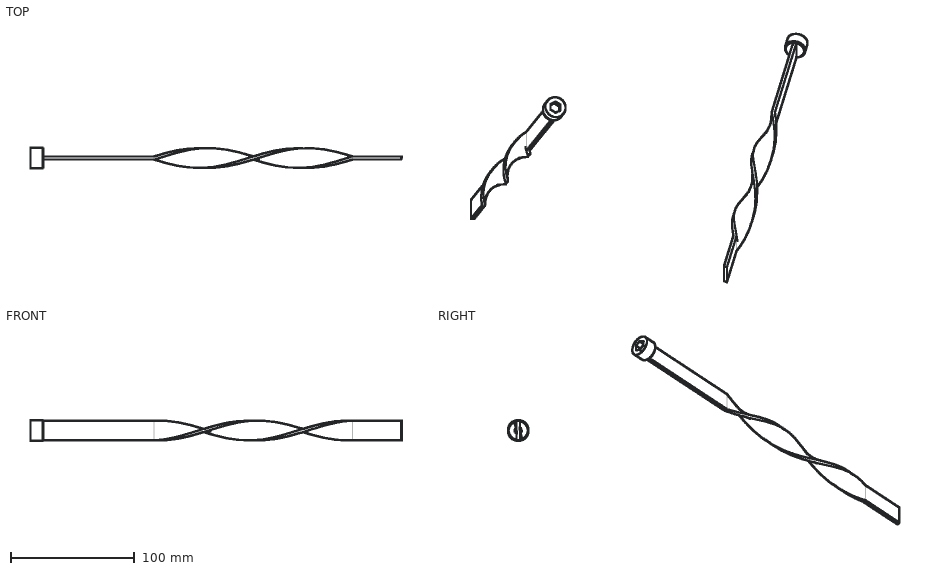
import cadquery as cq
import math

total_length = 300.0

head_diameter = 16.8
head_length = 10.5
head_rear_chamfer = 1.0
socket_across_flats = 8.0
socket_depth = 5.0

strip_width = 16.0
strip_thickness = 2.7
twist_start = 100.0
twist_length = 160.0
twist_angle = -360.0
twist_end = twist_start + twist_length

tip_slant = 1.0


def make_head():
    head = cq.Workplane("YZ").circle(head_diameter / 2).extrude(head_length)
    head = head.faces(">X").chamfer(head_rear_chamfer)
    across_corners = socket_across_flats / math.cos(math.pi / 6)
    socket = (
        cq.Workplane("YZ")
        .transformed(rotate=(0, 0, 90))
        .polygon(6, across_corners)
        .extrude(socket_depth)
    )
    return head.cut(socket)


def strip_section(x):
    return cq.Workplane("YZ", origin=(x, 0, 0)).rect(strip_thickness, strip_width)


def make_shank():
    return strip_section(head_length).extrude(twist_start - head_length)


def make_twist():
    return strip_section(twist_start).twistExtrude(twist_length, twist_angle)


def make_tip():
    half_thickness = strip_thickness / 2
    outline = [
        (twist_end, -half_thickness),
        (total_length - tip_slant, -half_thickness),
        (total_length, half_thickness),
        (twist_end, half_thickness),
    ]
    return cq.Workplane("XY").polyline(outline).close().extrude(strip_width / 2, both=True)


result = make_head().union(make_shank()).union(make_twist()).union(make_tip())